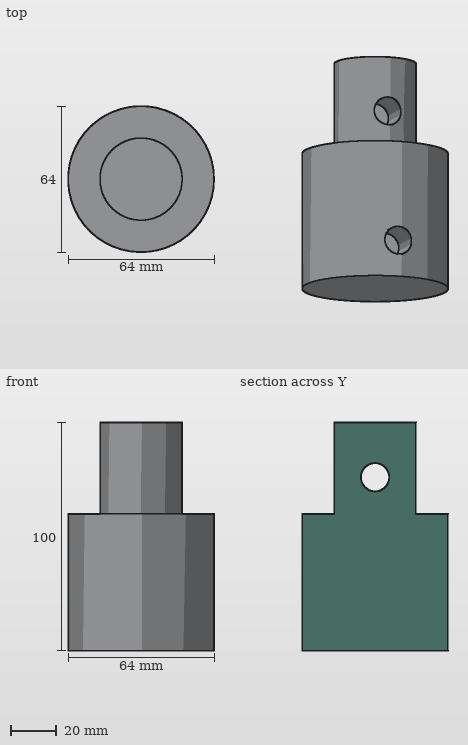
import cadquery as cq

body_diameter = 64.0
body_height = 60.0
spigot_diameter = 36.0
total_height = 100.0
spigot_height = total_height - body_height

hole_diameter = 12.3
hole_depth = 18.0
lower_hole_height = 16.0
upper_hole_height = 76.0


def radial_hole(outer_diameter, height):
    """Cutter running inward along -Y from the outside of a cylinder."""
    return (
        cq.Workplane("XZ", origin=(0, outer_diameter / 2, height))
        .circle(hole_diameter / 2)
        .extrude(hole_depth)
    )


body = cq.Workplane("XY").circle(body_diameter / 2).extrude(body_height)
spigot = (
    cq.Workplane("XY")
    .workplane(offset=body_height)
    .circle(spigot_diameter / 2)
    .extrude(spigot_height)
)

result = (
    body.union(spigot)
    .cut(radial_hole(body_diameter, lower_hole_height))
    .cut(radial_hole(spigot_diameter, upper_hole_height))
)